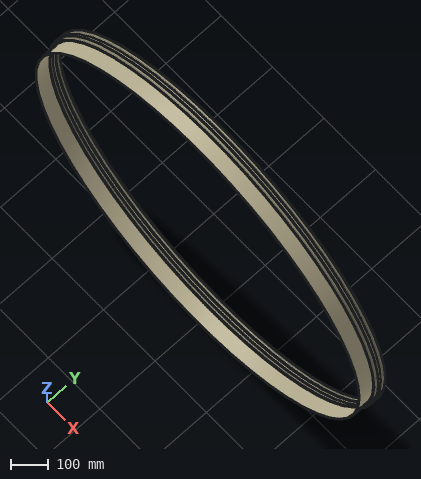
import cadquery as cq

outer_diameter = 1276.0
ring_depth = 89.0

bead_inner_diameter = 1272.0
collar_outer_diameter = 1267.0
skirt_outer_diameter = 1260.0

bead_width = 15.0
bead_pitch = 24.0
bead_count = 2
crest_rounding = 5.0

bead_outer_radius = outer_diameter / 2
bead_inner_radius = bead_inner_diameter / 2
sheet_thickness = bead_outer_radius - bead_inner_radius
collar_outer_radius = collar_outer_diameter / 2
collar_inner_radius = collar_outer_radius - sheet_thickness
skirt_outer_radius = skirt_outer_diameter / 2
skirt_inner_radius = skirt_outer_radius - sheet_thickness
back_y = ring_depth / 2
front_y = -ring_depth / 2
collar_front_y = back_y - bead_pitch * (bead_count - 1) - bead_width


def revolve_about_y(profile):
    """Turn a closed XY profile fully around the Y axis."""
    return profile.close().revolve(360, (0, 0, 0), (0, 1, 0))


def make_tube(inner_radius, outer_radius, start_y, end_y):
    """Ring with a rectangular section."""
    profile = (
        cq.Workplane("XY")
        .moveTo(inner_radius, start_y)
        .lineTo(outer_radius, start_y)
        .lineTo(outer_radius, end_y)
        .lineTo(inner_radius, end_y)
    )
    return revolve_about_y(profile)


def make_rounded_ring(crest_radius, width, rounding, center_y):
    """Solid ring from the collar's inner face out to a crest with rounded corners."""
    start_y = center_y - width / 2
    end_y = center_y + width / 2
    shoulder_radius = crest_radius - rounding
    profile = (
        cq.Workplane("XY")
        .moveTo(collar_inner_radius, start_y)
        .lineTo(shoulder_radius, start_y)
        .tangentArcPoint((crest_radius, start_y + rounding), relative=False)
        .lineTo(crest_radius, end_y - rounding)
        .tangentArcPoint((shoulder_radius, end_y), relative=False)
        .lineTo(collar_inner_radius, end_y)
    )
    return revolve_about_y(profile)


step_back_y = collar_front_y + sheet_thickness
skirt = make_tube(skirt_inner_radius, skirt_outer_radius, front_y, step_back_y)
step = make_tube(skirt_inner_radius, collar_outer_radius, collar_front_y, step_back_y)
collar = make_tube(collar_inner_radius, collar_outer_radius, collar_front_y, back_y)
result = skirt.union(step).union(collar)

for index in range(bead_count):
    bead_y = back_y - bead_width / 2 - index * bead_pitch
    hollow_width = bead_width - 2 * sheet_thickness
    hollow_rounding = crest_rounding - sheet_thickness
    bead = make_rounded_ring(bead_outer_radius, bead_width, crest_rounding, bead_y)
    hollow = make_rounded_ring(bead_inner_radius, hollow_width, hollow_rounding, bead_y)
    result = result.union(bead).cut(hollow)